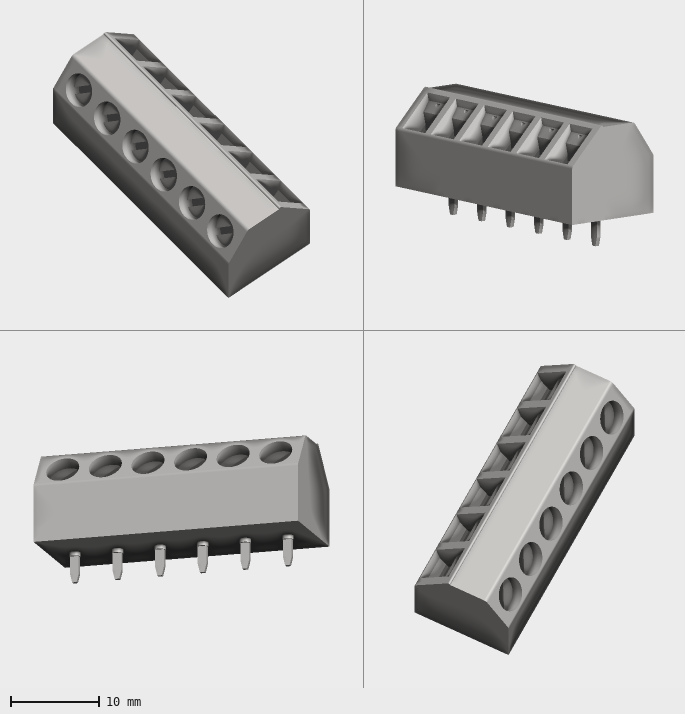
import cadquery as cq
import math


length = 31.48
depth = 12.0
shoulder_height = 6.7
top_height = 10.8
top_front = 2.85
ridge_front = 7.43
ridge_radius = 0.2
corner_radius = 0.5

terminal_count = 6
pitch = 5.07
terminal_places = [(i - (terminal_count - 1) / 2) * pitch for i in range(terminal_count)]

well_diameter = 3.87
well_depth = 1.48
well_height = 8.6
slot_width = 0.82
slot_depth = 0.85
slot_angle = 45

entry_width = 4.05
entry_front = 8.15
entry_rear = 11.85
cut_clearance = 0.3
throat_width = 2.68
throat_rear = 9.92
throat_depth = 2.3
ramp_start_y = 11.18
ramp_start_depth = 1.0
ramp_end_y = 10.2
ramp_end_depth = 1.85
ledge_edge_y = 9.0
ledge_edge_depth = 0.88
ledge_back_depth = 0.63
groove_radius = 0.57
groove_dip = 0.25
groove_length = 0.95

pin_y = depth / 2
collar_diameter = 1.3
collar_height = 0.47
pin_width = 1.05
pin_thickness = 0.55
pin_length = 3.53
pin_taper_length = 1.0
pin_tip_width = 0.55

front_angle = math.atan2(top_height - shoulder_height, top_front)
rear_angle = math.radians(45)

ridge_center_y = ridge_front + ridge_radius
slope_top_y = ridge_center_y + ridge_radius * math.sin(rear_angle)
slope_top_height = top_height + ridge_radius * math.cos(rear_angle)
rear_shoulder_height = slope_top_height - (depth - slope_top_y) * math.tan(rear_angle)


def rear_slope_height(y):
    """Height of the rear slope at a given Y."""
    return rear_shoulder_height + (depth - y) * math.tan(rear_angle)


def below_rear_slope(y, slope_depth):
    """Point (Y, Z) lying at a depth square to the rear slope."""
    return (y, rear_slope_height(y) - slope_depth / math.cos(rear_angle))


def make_housing():
    outline = (
        cq.Workplane("YZ")
        .moveTo(0, 0)
        .lineTo(0, shoulder_height)
        .lineTo(top_front, top_height)
        .lineTo(ridge_front, top_height)
        .threePointArc((ridge_center_y, top_height + ridge_radius), (slope_top_y, slope_top_height))
        .lineTo(depth, rear_shoulder_height)
        .lineTo(depth, 0)
        .close()
    )
    housing = outline.extrude(length / 2, both=True)
    corners = [(0, shoulder_height), (top_front, top_height), (depth, rear_shoulder_height)]
    for y, z in corners:
        housing = housing.edges(cq.selectors.NearestToPointSelector((0, y, z))).fillet(corner_radius)
    return housing


def make_screw_well(x):
    """Round well square to the front slope, with the screw slot sunk in its floor."""
    well_y = (well_height - shoulder_height) / math.tan(front_angle)
    outward = (0, -math.sin(front_angle), math.cos(front_angle))
    slope = cq.Plane(origin=(x, well_y, well_height), xDir=(1, 0, 0), normal=outward)
    well = cq.Workplane(slope).circle(well_diameter / 2).extrude(-well_depth)
    slot = (
        cq.Workplane(slope)
        .workplane(offset=-well_depth)
        .transformed(rotate=(0, 0, slot_angle))
        .rect(well_diameter, slot_width)
        .extrude(-slot_depth)
    )
    screw_head = cq.Workplane(slope).circle(well_diameter / 2).extrude(-well_depth - slot_depth)
    return well.union(slot.intersect(screw_head))


def make_ledge_groove(x):
    """Cylinder along the screw direction that dips below the back of the ledge and runs out of it."""
    ledge_back_z = below_rear_slope(entry_front, ledge_back_depth)[1]
    center_y = entry_front + groove_radius * math.cos(front_angle)
    center_z = ledge_back_z - groove_dip + groove_radius * math.sin(front_angle)
    screw_direction = (0, math.sin(front_angle), -math.cos(front_angle))
    start = cq.Plane(origin=(x, center_y, center_z), xDir=(1, 0, 0), normal=screw_direction)
    return cq.Workplane(start).circle(groove_radius).extrude(groove_length)


def make_wire_entry(x):
    """Funnel with a front ledge, narrowing sideways down to a rectangular throat."""
    side_outline = [
        (entry_front, rear_slope_height(entry_front) + cut_clearance),
        below_rear_slope(entry_front, ledge_back_depth),
        below_rear_slope(ledge_edge_y, ledge_edge_depth),
        below_rear_slope(ledge_edge_y, throat_depth),
        below_rear_slope(throat_rear, throat_depth),
        below_rear_slope(ramp_end_y, ramp_end_depth),
        below_rear_slope(ramp_start_y, ramp_start_depth),
        (entry_rear, rear_slope_height(entry_rear)),
        (entry_rear, rear_slope_height(entry_rear) + cut_clearance),
    ]
    side_shape = (
        cq.Workplane("YZ", origin=(x, 0, 0)).polyline(side_outline).close().extrude(entry_width / 2, both=True)
    )
    mouth = entry_width / 2
    throat = throat_width / 2
    funnel_outline = [
        (-mouth, depth),
        (-mouth, 0),
        (-throat, -ramp_end_depth),
        (-throat, -throat_depth),
        (throat, -throat_depth),
        (throat, -ramp_end_depth),
        (mouth, 0),
        (mouth, depth),
    ]
    up_slope = (0, -math.cos(rear_angle), math.sin(rear_angle))
    across = cq.Plane(origin=(x, depth, rear_shoulder_height), xDir=(1, 0, 0), normal=up_slope)
    funnel = cq.Workplane(across).polyline(funnel_outline).close().extrude(depth, both=True)
    return side_shape.intersect(funnel).union(make_ledge_groove(x))


def make_pin(x):
    """Flat pin with a tapered tip, below a round collar."""
    collar = cq.Workplane("XY", origin=(x, pin_y, 0)).circle(collar_diameter / 2).extrude(-collar_height)
    outline = [
        (-pin_width / 2, 0),
        (pin_width / 2, 0),
        (pin_width / 2, pin_taper_length - pin_length),
        (pin_tip_width / 2, -pin_length),
        (-pin_tip_width / 2, -pin_length),
        (-pin_width / 2, pin_taper_length - pin_length),
    ]
    blade = (
        cq.Workplane("XZ", origin=(x, pin_y, 0)).polyline(outline).close().extrude(pin_thickness / 2, both=True)
    )
    return collar.union(blade)


result = make_housing()
for place in terminal_places:
    result = result.cut(make_screw_well(place))
    result = result.cut(make_wire_entry(place))
    result = result.union(make_pin(place))